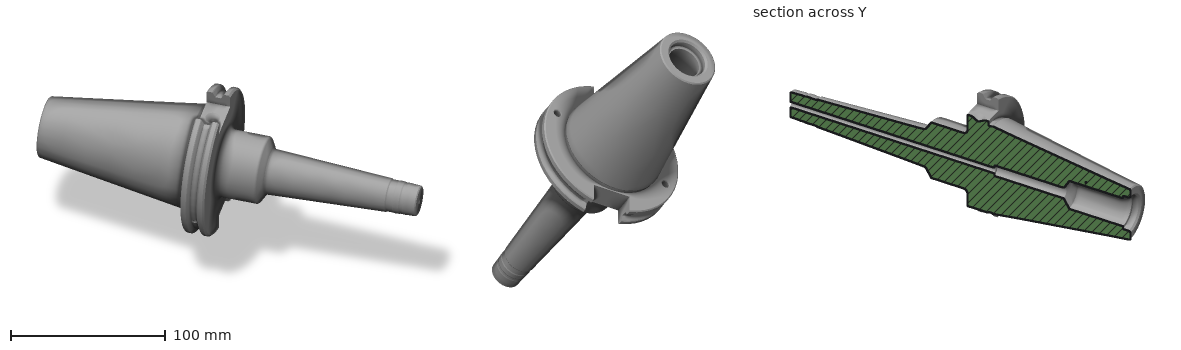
import cadquery as cq
import math

LENGTH = 251.5

TAPER_RATE = 7 / 24
TAPER_LENGTH = 101.6
GAUGE_DIA = 70.0
TAPER_END_CHAMFER = 0.8
RELIEF_DIA = 69.2
RELIEF_LENGTH = 3.3
RELIEF_LEAD = 0.8

FLANGE_DIA = 98.0
FLANGE_WIDTH = 15.9
FLANGE_REAR_CHAMFER = 0.8
FLANGE_FRONT_CHAMFER = 1.3
V_CENTRE = 11.0
V_FLOOR_DIA = 91.0
V_FLOOR_WIDTH = 3.8
V_FLANK_ANGLE = 30.0
V_MOUTH_CHAMFER = 0.5

HUB_DIA = 44.5
HUB_END = 147.5
HUB_ROOT_FILLET = 3.0
HUB_EDGE_FILLET = 1.8
NOSE_START = 151.7
NOSE_ROOT_DIA = 30.2
NOSE_TIP_DIA = 20.1
NOSE_ROOT_FILLET = 1.5
NOSE_TIP_CHAMFER = 0.8

NOSE_GROOVES = [(231.2, 236.8, 21.1), (240.3, 243.3, 20.6)]
GROOVE_WALL_RUN = 0.8

MOUTH_DIA = 26.2
MOUTH_DEPTH = 5.5
MOUTH_CHAMFER = 1.3
BORE_DIA = 22.0
BORE_DEPTH = 45.3
PILOT_DIA = 8.0
PILOT_END = 100.6
THROUGH_DIA = 4.0
DRILL_POINT_ANGLE = 118.0

SLOT_WIDTH = 26.2
UPPER_SLOT_FLOOR = 37.7
LOWER_SLOT_FLOOR = 35.2
DIMPLE_DIA = 9.5

PORT_CIRCLE_RADIUS = 42.0
PORT_ANGLES = (20.0, 200.0)
PORT_DIA = 5.0
PORT_MOUTH_DIA = 6.0
RADIAL_PORT_DIA = 4.0

CLEARANCE = 2.5

FLANGE_REAR = TAPER_LENGTH + RELIEF_LENGTH
FLANGE_FRONT = FLANGE_REAR + FLANGE_WIDTH
V_X = TAPER_LENGTH + V_CENTRE
DRILL_POINT_SLOPE = math.tan(math.radians(DRILL_POINT_ANGLE / 2))


def revolve(outline):
    """Solid of revolution about X from (x, radius) points."""
    return cq.Workplane("XY").polyline(outline).close().revolve(360, (0, 0, 0), (1, 0, 0))


def nose_radius(x):
    """Radius of the tapered nose at position x."""
    fraction = (x - NOSE_START) / (LENGTH - NOSE_START)
    return (NOSE_ROOT_DIA + (NOSE_TIP_DIA - NOSE_ROOT_DIA) * fraction) / 2


def fillet_ring(body, x, radius, fillet):
    """Round the circular edge centred on the axis at x."""
    reach = 0.13
    box = cq.selectors.BoxSelector(
        (x - reach, -radius - reach, -radius - reach),
        (x + reach, radius + reach, radius + reach),
        boundingbox=True,
    )
    return body.edges(box).edges("%CIRCLE").fillet(fillet)


def turned_body():
    """Taper, flange, hub and nose as one turned solid."""
    taper_end = (GAUGE_DIA - TAPER_LENGTH * TAPER_RATE) / 2
    chamfered_taper = taper_end + TAPER_END_CHAMFER * TAPER_RATE / 2
    flange = FLANGE_DIA / 2
    hub = HUB_DIA / 2
    outline = [
        (0, 0),
        (0, taper_end - TAPER_END_CHAMFER),
        (TAPER_END_CHAMFER, chamfered_taper),
        (TAPER_LENGTH, GAUGE_DIA / 2),
        (TAPER_LENGTH + RELIEF_LEAD, RELIEF_DIA / 2),
        (FLANGE_REAR, RELIEF_DIA / 2),
        (FLANGE_REAR, flange - FLANGE_REAR_CHAMFER),
        (FLANGE_REAR + FLANGE_REAR_CHAMFER, flange),
        (FLANGE_FRONT - FLANGE_FRONT_CHAMFER, flange),
        (FLANGE_FRONT, flange - FLANGE_FRONT_CHAMFER),
        (FLANGE_FRONT, hub),
        (HUB_END, hub),
        (NOSE_START, NOSE_ROOT_DIA / 2),
        (LENGTH - NOSE_TIP_CHAMFER, nose_radius(LENGTH - NOSE_TIP_CHAMFER)),
        (LENGTH, NOSE_TIP_DIA / 2 - NOSE_TIP_CHAMFER),
        (LENGTH, 0),
    ]
    body = revolve(outline)
    body = fillet_ring(body, FLANGE_FRONT, hub, HUB_ROOT_FILLET)
    body = fillet_ring(body, HUB_END, hub, HUB_EDGE_FILLET)
    return fillet_ring(body, NOSE_START, NOSE_ROOT_DIA / 2, NOSE_ROOT_FILLET)


def v_groove():
    """Ring cutter for the flange groove, with its mouth edges broken."""
    floor = V_FLOOR_DIA / 2
    rim = FLANGE_DIA / 2
    half_floor = V_FLOOR_WIDTH / 2
    break_radius = rim - V_MOUTH_CHAMFER
    half_break = half_floor + (break_radius - floor) * math.tan(math.radians(V_FLANK_ANGLE))
    half_mouth = half_break + V_MOUTH_CHAMFER
    clear = rim + CLEARANCE
    return revolve([
        (V_X - half_floor, floor),
        (V_X - half_break, break_radius),
        (V_X - half_mouth, rim),
        (V_X - half_mouth, clear),
        (V_X + half_mouth, clear),
        (V_X + half_mouth, rim),
        (V_X + half_break, break_radius),
        (V_X + half_floor, floor),
    ])


def nose_groove(start, end, floor_dia):
    """Ring cutter for one shallow groove with sloping walls."""
    floor = floor_dia / 2
    clear = NOSE_ROOT_DIA / 2
    return revolve([
        (start, nose_radius(start)),
        (start + GROOVE_WALL_RUN, floor),
        (end - GROOVE_WALL_RUN, floor),
        (end, nose_radius(end)),
        (end, clear),
        (start, clear),
    ])


def axial_bore():
    """Stepped bore running the whole length of the holder."""
    mouth = MOUTH_DIA / 2
    bore = BORE_DIA / 2
    pilot = PILOT_DIA / 2
    through = THROUGH_DIA / 2
    return revolve([
        (0, 0),
        (0, mouth + MOUTH_CHAMFER),
        (MOUTH_CHAMFER, mouth),
        (MOUTH_DEPTH, mouth),
        (MOUTH_DEPTH, bore),
        (BORE_DEPTH, bore),
        (BORE_DEPTH + (bore - pilot) / DRILL_POINT_SLOPE, pilot),
        (PILOT_END, pilot),
        (PILOT_END, through),
        (LENGTH, through),
        (LENGTH, 0),
    ])


def drive_slot(floor, side):
    """Slot across the flange; side is +1 above the axis and -1 below."""
    height = FLANGE_DIA / 2
    centre = (FLANGE_REAR + FLANGE_WIDTH / 2, 0, side * (floor + height / 2))
    return cq.Workplane("XY").box(FLANGE_WIDTH, SLOT_WIDTH, height).translate(centre)


def drill_point(dia, start, direction):
    """Conical recess left by a drill point, with its full diameter at start."""
    radius = dia / 2
    return cq.Solid.makeCone(radius, 0, radius / DRILL_POINT_SLOPE, start, direction)


def dimple():
    """Conical spot in the middle of the upper drive slot's floor."""
    return cq.Workplane(drill_point(DIMPLE_DIA, cq.Vector(V_X, 0, UPPER_SLOT_FLOOR), cq.Vector(0, 0, -1)))


def coolant_port(angle):
    """Cutters for a chamfered axial hole and the radial hole that meets it from the V groove."""
    forward = cq.Vector(1, 0, 0)
    outward = cq.Vector(0, math.cos(math.radians(angle)), math.sin(math.radians(angle)))
    on_face = cq.Vector(FLANGE_REAR, 0, 0) + outward * PORT_CIRCLE_RADIUS
    meeting_point = cq.Vector(V_X, 0, 0) + outward * PORT_CIRCLE_RADIUS
    hole_radius = PORT_DIA / 2
    mouth_radius = PORT_MOUTH_DIA / 2

    axial = cq.Solid.makeCylinder(hole_radius, V_X - FLANGE_REAR, on_face, forward)
    axial_end = drill_point(PORT_DIA, meeting_point, forward)
    mouth = cq.Solid.makeCone(mouth_radius, hole_radius, mouth_radius - hole_radius, on_face, forward)
    radial_length = FLANGE_DIA / 2 - PORT_CIRCLE_RADIUS
    radial = cq.Solid.makeCylinder(RADIAL_PORT_DIA / 2, radial_length, meeting_point, outward)
    return [cq.Workplane(piece) for piece in (axial, axial_end, mouth, radial)]


result = turned_body().cut(v_groove()).cut(axial_bore())
for start, end, floor_dia in NOSE_GROOVES:
    result = result.cut(nose_groove(start, end, floor_dia))
result = result.cut(drive_slot(UPPER_SLOT_FLOOR, 1))
result = result.cut(drive_slot(LOWER_SLOT_FLOOR, -1))
result = result.cut(dimple())
for port_angle in PORT_ANGLES:
    for piece in coolant_port(port_angle):
        result = result.cut(piece)